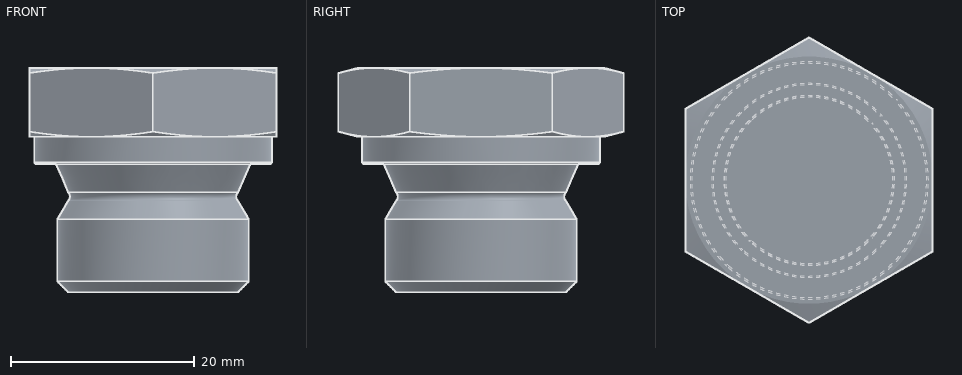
import cadquery as cq
import math

across_corners = 31.18
across_flats = across_corners * math.cos(math.radians(30))
head_height = 7.5
corner_chamfer_angle = 15.0

collar_diameter = 26.0
collar_height = 3.0
collar_chamfer = 0.2

upper_cone_diameter = 21.25
upper_cone_height = 3.05
throat_edge_diameter = 18.6
throat_diameter = 18.2
throat_height = 0.97
lower_cone_height = 2.0

shank_diameter = 20.95
tip_chamfer = 1.22
total_height = 24.5

head_bottom = total_height - head_height
collar_bottom = head_bottom - collar_height
throat_top = collar_bottom - upper_cone_height
throat_bottom = throat_top - throat_height
shank_top = throat_bottom - lower_cone_height


def make_head():
    """Hexagon with corners on Y, trimmed by a cone at both ends."""
    hexagon = (
        cq.Workplane("XY", origin=(0, 0, head_bottom))
        .polygon(6, across_corners)
        .extrude(head_height)
        .rotate((0, 0, 0), (0, 0, 1), 30)
    )
    flat_radius = across_flats / 2
    corner_radius = across_corners / 2
    drop = (corner_radius - flat_radius) * math.tan(math.radians(corner_chamfer_angle))
    trimming_body = (
        cq.Workplane("XZ")
        .moveTo(0, head_bottom)
        .lineTo(flat_radius, head_bottom)
        .lineTo(corner_radius, head_bottom + drop)
        .lineTo(corner_radius, total_height - drop)
        .lineTo(flat_radius, total_height)
        .lineTo(0, total_height)
        .close()
        .revolve(360, (0, 0, 0), (0, 1, 0))
    )
    return hexagon.intersect(trimming_body)


def make_body():
    """Collar, undercut and shank turned as one profile."""
    collar_radius = collar_diameter / 2
    shank_radius = shank_diameter / 2
    throat_edge_radius = throat_edge_diameter / 2
    throat_middle = (throat_top + throat_bottom) / 2
    return (
        cq.Workplane("XZ")
        .moveTo(0, 0)
        .lineTo(shank_radius - tip_chamfer, 0)
        .lineTo(shank_radius, tip_chamfer)
        .lineTo(shank_radius, shank_top)
        .lineTo(throat_edge_radius, throat_bottom)
        .threePointArc((throat_diameter / 2, throat_middle), (throat_edge_radius, throat_top))
        .lineTo(upper_cone_diameter / 2, collar_bottom)
        .lineTo(collar_radius - collar_chamfer, collar_bottom)
        .lineTo(collar_radius, collar_bottom + collar_chamfer)
        .lineTo(collar_radius, head_bottom)
        .lineTo(0, head_bottom)
        .close()
        .revolve(360, (0, 0, 0), (0, 1, 0))
    )


result = make_head().union(make_body())